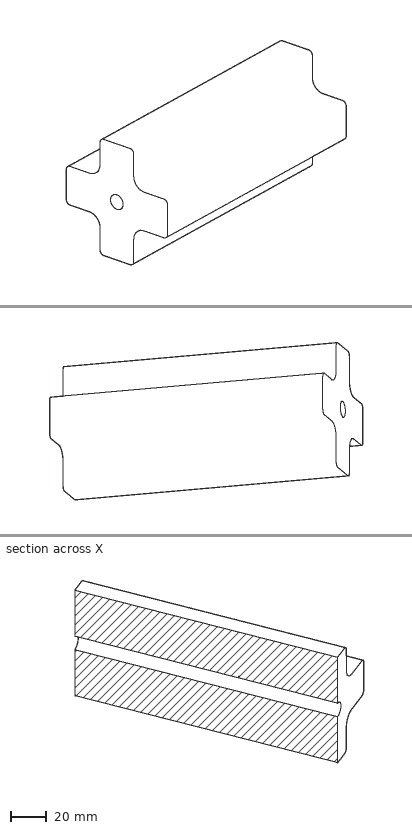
import cadquery as cq

length = 160.0
span = 72.0
arm_width = 24.0
tip_radius = 2.7
root_radius = 7.5
bore_diameter = 9.0


def make_rounded_bar(width, height):
    """Rectangular bar running along Y, with its four long edges rounded."""
    return cq.Workplane("XY").box(width, length, height).edges("|Y").fillet(tip_radius)


def make_cross_bar():
    """Two crossed bars joined by fillets in the four inner corners."""
    cross = make_rounded_bar(span, arm_width).union(make_rounded_bar(arm_width, span))

    reach = arm_width
    root_zone = cq.selectors.BoxSelector((-reach, -reach, -reach), (reach, reach, reach))
    return cross.edges(root_zone).fillet(root_radius)


def make_bore():
    """Round bore along the whole length of the bar."""
    return cq.Workplane("XZ").circle(bore_diameter / 2).extrude(length / 2, both=True)


result = make_cross_bar().cut(make_bore())